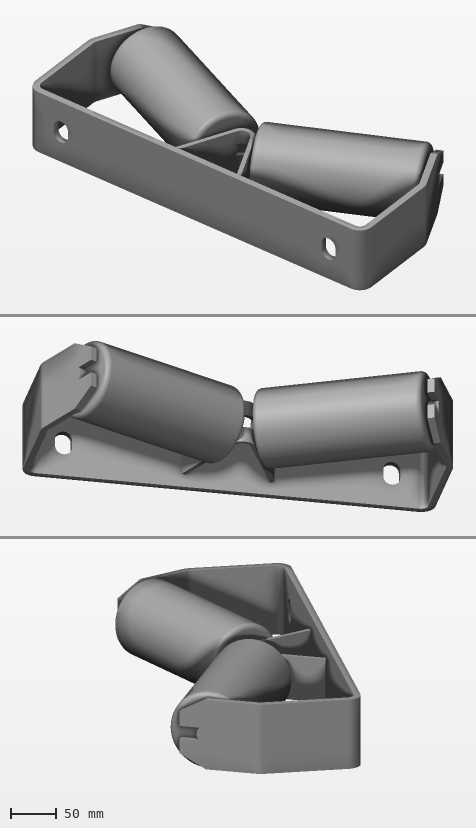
import cadquery as cq
import math

SIDES = (1, -1)

TILT = 25.0
COS = math.cos(math.radians(TILT))
SIN = math.sin(math.radians(TILT))

FRAME_WIDTH = 460.0
FRAME_HEIGHT = 80.0
FRAME_THICKNESS = 8.0
FRAME_BEND = 16.0
WALL_END = 111.0
TIP_ABOVE_SHAFT = 30.0
TIP_CHAMFER = 16.0

MOUNT_SPACING = 366.0
MOUNT_WIDTH = 19.0
MOUNT_LENGTH = 27.5

BRACKET_THICKNESS = 5.0
BRACKET_BEND = 15.0
BRACKET_TOP = 100.0
BRACKET_HEIGHT = 50.0

ROLLER_DIAMETER = 89.0
ROLLER_LENGTH = 190.0
ROLLER_FILLET = 6.0
SHAFT_DIAMETER = 21.0
SHAFT_FLATS = 15.0

WALL_BEND_X = FRAME_WIDTH / 2 - FRAME_BEND
BRACKET_BEND_Y = BRACKET_TOP - BRACKET_BEND

LEG_OUTER = WALL_BEND_X * COS + WALL_END * SIN + FRAME_BEND
LEG_INNER = LEG_OUTER - FRAME_THICKNESS
BRACKET_OUTER = BRACKET_BEND_Y * SIN + BRACKET_BEND
BRACKET_INNER = BRACKET_OUTER - BRACKET_THICKNESS
ROLLER_CENTRE = (LEG_INNER + BRACKET_OUTER) / 2

AXIS_OFFSET = 67.5
TIP_OFFSET = AXIS_OFFSET + TIP_ABOVE_SHAFT


def tilted(along, across):
    """XY point given by its distances along and across the right roller axis."""
    return (along * COS - across * SIN, along * SIN + across * COS)


def around(centre, radius, angle):
    """XY point on a circle, with the angle in degrees from +X."""
    turn = math.radians(angle)
    return (centre[0] + radius * math.cos(turn), centre[1] + radius * math.sin(turn))


def axis_plane(side, along):
    """Plane square to a roller axis: local Y points to the leg tip, the normal points outwards."""
    x, y = tilted(along, AXIS_OFFSET)
    return cq.Plane(origin=(side * x, y, 0), xDir=(0, 0, -side), normal=(side * COS, SIN, 0))


def shaft_end(side, start, end):
    """Flattened shaft end between two distances along the axis."""
    plane = axis_plane(side, start)
    flats = cq.Workplane(plane).rect(SHAFT_FLATS, SHAFT_DIAMETER).extrude(end - start)
    return cq.Workplane(plane).circle(SHAFT_DIAMETER / 2).extrude(end - start).intersect(flats)


def shaft_slot(side, start, end):
    """Cutter for a slot that holds a shaft end and is open towards the leg tip."""
    opening = (
        cq.Workplane(axis_plane(side, start))
        .center(0, TIP_ABOVE_SHAFT)
        .rect(SHAFT_FLATS, 2 * TIP_ABOVE_SHAFT)
        .extrude(end - start)
    )
    return shaft_end(side, start, end).union(opening)


def frame_half():
    """Right half of the bent frame strip, with its leg tip chamfered."""
    inner_bend = FRAME_BEND - FRAME_THICKNESS
    corner = (WALL_BEND_X, FRAME_BEND)
    knee = (WALL_BEND_X, WALL_END)
    strip = (
        cq.Workplane("XY")
        .moveTo(0, 0)
        .lineTo(WALL_BEND_X, 0)
        .threePointArc(around(corner, FRAME_BEND, -45), around(corner, FRAME_BEND, 0))
        .lineTo(*around(knee, FRAME_BEND, 0))
        .threePointArc(around(knee, FRAME_BEND, TILT / 2), around(knee, FRAME_BEND, TILT))
        .lineTo(*tilted(LEG_OUTER, TIP_OFFSET))
        .lineTo(*tilted(LEG_INNER, TIP_OFFSET))
        .lineTo(*around(knee, inner_bend, TILT))
        .threePointArc(around(knee, inner_bend, TILT / 2), around(knee, inner_bend, 0))
        .lineTo(*around(corner, inner_bend, 0))
        .threePointArc(around(corner, inner_bend, -45), around(corner, inner_bend, -90))
        .lineTo(0, FRAME_THICKNESS)
        .close()
        .extrude(FRAME_HEIGHT / 2, both=True)
    )
    edge = FRAME_HEIGHT / 2
    for z_sign in (1, -1):
        corner_cut = (
            cq.Workplane(axis_plane(1, LEG_INNER))
            .polyline([
                (z_sign * edge, 0),
                (z_sign * edge, TIP_ABOVE_SHAFT),
                (z_sign * (edge - TIP_CHAMFER), TIP_ABOVE_SHAFT),
            ])
            .close()
            .extrude(FRAME_THICKNESS)
        )
        strip = strip.cut(corner_cut)
    return strip


def build_frame():
    half = frame_half()
    frame = half.union(half.mirror("YZ"))
    for side in SIDES:
        frame = frame.cut(shaft_slot(side, LEG_INNER, LEG_OUTER))
    mount_slots = (
        cq.Workplane("XZ")
        .pushPoints([(side * MOUNT_SPACING / 2, 0) for side in SIDES])
        .slot2D(MOUNT_LENGTH, MOUNT_WIDTH, 90)
        .extrude(-FRAME_THICKNESS)
    )
    return frame.cut(mount_slots)


def build_bracket():
    inner_bend = BRACKET_BEND - BRACKET_THICKNESS
    apex = (0, BRACKET_BEND_Y)
    foot_offset = (FRAME_THICKNESS - BRACKET_INNER * SIN) / COS
    outer_foot = tilted(BRACKET_OUTER, foot_offset)
    inner_foot = tilted(BRACKET_INNER, foot_offset)
    bracket = (
        cq.Workplane("XY")
        .moveTo(*outer_foot)
        .lineTo(*around(apex, BRACKET_BEND, TILT))
        .threePointArc(around(apex, BRACKET_BEND, 90), around(apex, BRACKET_BEND, 180 - TILT))
        .lineTo(-outer_foot[0], outer_foot[1])
        .lineTo(-inner_foot[0], inner_foot[1])
        .lineTo(*around(apex, inner_bend, 180 - TILT))
        .threePointArc(around(apex, inner_bend, 90), around(apex, inner_bend, TILT))
        .lineTo(*inner_foot)
        .close()
        .extrude(BRACKET_HEIGHT / 2, both=True)
    )
    for side in SIDES:
        bracket = bracket.cut(shaft_slot(side, BRACKET_INNER, BRACKET_OUTER))
    bend_slot = (
        cq.Workplane("XY")
        .box(2 * BRACKET_BEND, BRACKET_BEND, SHAFT_FLATS)
        .translate((0, BRACKET_BEND_Y + BRACKET_BEND / 2, 0))
    )
    return bracket.cut(bend_slot)


def build_roller(side):
    """Roller with its shaft, flattened where it sits in the frame and the bracket."""
    drum = (
        cq.Workplane(axis_plane(side, ROLLER_CENTRE - ROLLER_LENGTH / 2))
        .circle(ROLLER_DIAMETER / 2)
        .extrude(ROLLER_LENGTH)
        .edges("%CIRCLE")
        .fillet(ROLLER_FILLET)
    )
    shaft = (
        cq.Workplane(axis_plane(side, BRACKET_OUTER))
        .circle(SHAFT_DIAMETER / 2)
        .extrude(LEG_INNER - BRACKET_OUTER)
    )
    return (
        drum.union(shaft)
        .union(shaft_end(side, LEG_INNER, LEG_OUTER))
        .union(shaft_end(side, BRACKET_INNER, BRACKET_OUTER))
    )


frame = build_frame()
bracket = build_bracket()
rollers = [build_roller(side) for side in SIDES]

result = cq.Compound.makeCompound([
    frame.val(),
    bracket.val(),
    *[roller.val() for roller in rollers],
])